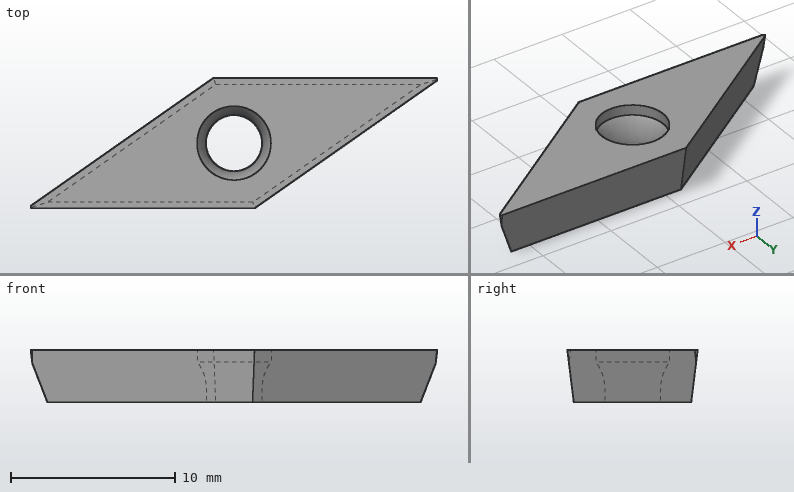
import cadquery as cq
import math

inscribed_diameter = 7.94
thickness = 3.18
nose_angle = 35.0
clearance_angle = 7.0
nose_radius = 0.1

entry_diameter = 4.5
bore_diameter = 3.4
entry_depth = 0.72
bore_start_depth = 2.28


def make_body():
    """Rhombic block, widest at the top face, with two sides parallel to X.

    The clearance shrinks the nose rounding to a point part of the way down,
    so each nose edge is a short cone above a sharp edge.
    """
    half_width = inscribed_diameter / 2
    half_nose_angle = math.radians(nose_angle / 2)
    nose_x = half_width / math.tan(half_nose_angle)
    blunt_x = half_width * math.tan(half_nose_angle)
    top_outline = (
        cq.Sketch()
        .polygon(
            [
                (nose_x, half_width),
                (-blunt_x, half_width),
                (-nose_x, -half_width),
                (blunt_x, -half_width),
                (nose_x, half_width),
            ]
        )
        .vertices("<X or >X")
        .fillet(nose_radius)
    )
    return (
        cq.Workplane("XY", origin=(0, 0, thickness))
        .placeSketch(top_outline)
        .extrude(-thickness, taper=clearance_angle)
    )


def make_screw_hole():
    """Revolved hole whose rounded seat narrows from the entry and runs tangent into the bore."""
    entry_radius = entry_diameter / 2
    bore_radius = bore_diameter / 2
    seat_top_z = thickness - entry_depth
    seat_bottom_z = thickness - bore_start_depth
    return (
        cq.Workplane("XZ")
        .lineTo(bore_radius, 0)
        .lineTo(bore_radius, seat_bottom_z)
        .tangentArcPoint((entry_radius, seat_top_z), relative=False)
        .lineTo(entry_radius, thickness)
        .lineTo(0, thickness)
        .close()
        .revolve(360, (0, 0, 0), (0, 1, 0))
    )


result = make_body().cut(make_screw_hole())